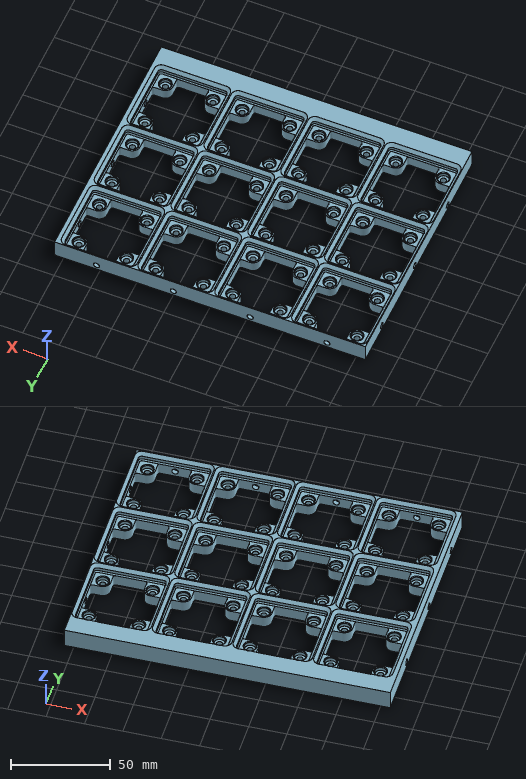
import cadquery as cq

LENGTH = 170.0
WIDTH = 136.0
HEIGHT = 10.7

BEVEL_ANGLE = 45

COLUMNS = 4
ROWS = 3
PITCH = 42.0

RIM_FLAT = 0.3
LOW_BEVEL = 0.7
OPENING = 36.4
OPENING_RADIUS = 1.15
FLOOR_Z = 6.5
TOP_BEVEL = (PITCH - OPENING) / 2 - RIM_FLAT - LOW_BEVEL
SEAT_WALL = HEIGHT - FLOOR_Z - TOP_BEVEL - LOW_BEVEL

BOSS_SPACING = 26.0
BOSS_RADIUS = 4.2
OPENING_FILLET = 1.0
POCKET_DIAMETER = 6.1
POCKET_DEPTH = 2.4
POCKET_CHAMFER = 0.42
SCREW_DIAMETER = 3.0

SIDE_DIAMETER = 3.2
SIDE_Z = 3.2
SIDE_REACH = PITCH / 2 + LENGTH - COLUMNS * PITCH

column_centres = [(column + 0.5) * PITCH - LENGTH / 2 for column in range(COLUMNS)]
row_centres = [WIDTH / 2 - (row + 0.5) * PITCH for row in range(ROWS)]
cell_centres = [(x, y) for x in column_centres for y in row_centres]


def rounded_square(side, radius, z, height, taper=0):
    """Square prism with rounded upright edges, built upward from z."""
    sketch = cq.Sketch().rect(side, side).vertices().fillet(radius)
    return cq.Workplane("XY").workplane(offset=z).placeSketch(sketch).extrude(height, taper=taper)


def make_seat():
    """Stepped recess that widens toward the top face."""
    wall_side = OPENING + 2 * LOW_BEVEL
    wall_radius = OPENING_RADIUS + LOW_BEVEL
    low = rounded_square(OPENING, OPENING_RADIUS, FLOOR_Z, LOW_BEVEL, taper=-BEVEL_ANGLE)
    wall = rounded_square(wall_side, wall_radius, FLOOR_Z + LOW_BEVEL, SEAT_WALL)
    top = rounded_square(wall_side, wall_radius, HEIGHT - TOP_BEVEL, TOP_BEVEL, taper=-BEVEL_ANGLE)
    return low.union(wall).union(top)


def make_opening():
    """Cross-shaped through opening that leaves a round-nosed boss in each corner."""
    gap = BOSS_SPACING - 2 * BOSS_RADIUS
    nose_zone = cq.selectors.BoxSelector((-gap, -gap, 0), (gap, gap, FLOOR_Z))
    sketch = cq.Sketch().rect(OPENING, gap).rect(gap, OPENING).clean()
    cross = cq.Workplane("XY").placeSketch(sketch).extrude(FLOOR_Z)
    cross = cross.edges("|Z").edges(nose_zone).fillet(BOSS_RADIUS)
    cross_ends = cross.faces("<X or >X or <Y or >Y").edges("|Z")
    return cross_ends.fillet(OPENING_FILLET)


def boss_circles(diameter, z):
    """Circles on the four boss centres at height z."""
    spots = cq.Workplane("XY").workplane(offset=z)
    spots = spots.rect(BOSS_SPACING, BOSS_SPACING, forConstruction=True).vertices()
    return spots.circle(diameter / 2)


def make_boss_holes():
    """Four screw holes, each under a chamfered magnet pocket sunk into the cell floor."""
    screws = boss_circles(SCREW_DIAMETER, 0).extrude(FLOOR_Z)
    pockets = boss_circles(POCKET_DIAMETER, FLOOR_Z).extrude(-POCKET_DEPTH)
    mouth_diameter = POCKET_DIAMETER + 2 * POCKET_CHAMFER
    mouths = boss_circles(mouth_diameter, FLOOR_Z).extrude(-POCKET_CHAMFER, taper=BEVEL_ANGLE)
    return screws.union(pockets).union(mouths)


def make_side_hole(x, y, direction):
    """Horizontal hole from a cell centre at (x, y) out through the side wall."""
    start = cq.Vector(x, y, SIDE_Z)
    return cq.Solid.makeCylinder(SIDE_DIAMETER / 2, SIDE_REACH, start, cq.Vector(*direction))


cell_cutter = make_seat().union(make_opening()).union(make_boss_holes())

result = cq.Workplane("XY").box(LENGTH, WIDTH, HEIGHT, centered=(True, True, False))
for x, y in cell_centres:
    result = result.cut(cell_cutter.translate((x, y, 0)))

for y in row_centres:
    result = result.cut(make_side_hole(column_centres[0], y, (-1, 0, 0)))
    result = result.cut(make_side_hole(column_centres[-1], y, (1, 0, 0)))
for x in column_centres:
    result = result.cut(make_side_hole(x, row_centres[0], (0, 1, 0)))